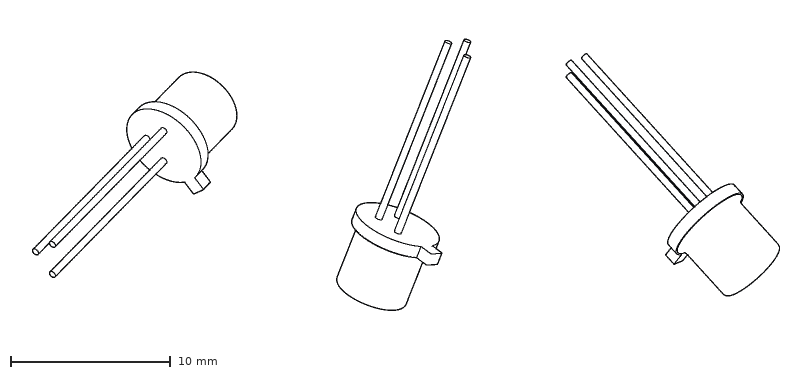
import cadquery as cq
import math

total_length = 17.64
lead_length = 12.68
flange_thickness = 0.81
flare_height = 0.48

flange_radius = 2.79
can_radius = 2.33
flare_radius = 2.68
can_top_fillet = 0.23

lead_radius = 0.23
lead_offset = 1.27
lead_angles = (90, 180, 270)

tab_width = 1.08
tab_reach = 3.69
tab_corner_fillet = 0.09
tab_angle = -45

can_height = total_length - lead_length
flare_top = flange_thickness + flare_height


def make_body():
    """Revolve the flange, concave flare and can about the Y axis; the flange underside is at Y = 0."""
    flare_width = flare_radius - can_radius
    arc_radius = (flare_width**2 + flare_height**2) / (2 * flare_width)
    half_sweep = math.asin(flare_height / arc_radius) / 2
    flare_middle = (
        can_radius + arc_radius * (1 - math.cos(half_sweep)),
        flare_top - arc_radius * math.sin(half_sweep),
    )
    body = (
        cq.Workplane("XY")
        .lineTo(flange_radius, 0)
        .lineTo(flange_radius, flange_thickness)
        .lineTo(flare_radius, flange_thickness)
        .threePointArc(flare_middle, (can_radius, flare_top))
        .lineTo(can_radius, can_height)
        .lineTo(0, can_height)
        .close()
        .revolve(360, (0, 0, 0), (0, 1, 0))
    )
    return body.faces(">Y").edges().fillet(can_top_fillet)


def make_tab():
    """Radial index tab on the flange, with rounded outer corners."""
    return (
        cq.Workplane("XY")
        .box(tab_reach, flange_thickness, tab_width, centered=(False, False, True))
        .edges("|Y and >X")
        .fillet(tab_corner_fillet)
        .rotate((0, 0, 0), (0, 1, 0), -tab_angle)
    )


def make_lead(angle):
    """Round lead running in -Y from the flange; the angle is measured from +X toward +Z."""
    x = lead_offset * math.cos(math.radians(angle))
    z = lead_offset * math.sin(math.radians(angle))
    return cq.Workplane("XZ").center(x, z).circle(lead_radius).extrude(lead_length)


result = make_body().union(make_tab())
for lead_angle in lead_angles:
    result = result.union(make_lead(lead_angle))